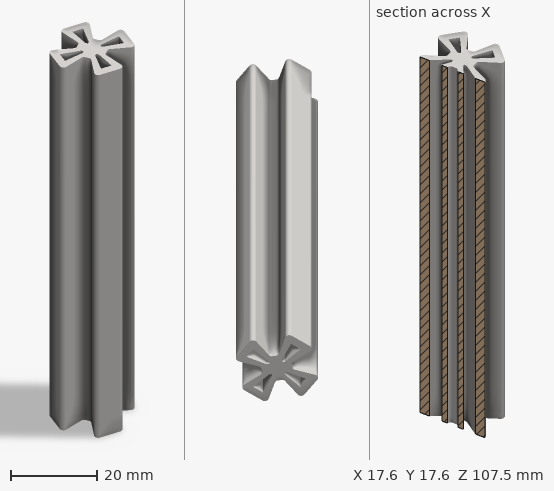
import cadquery as cq

length = 107.5
groove_floor = 3.5
floor_half_width = 1.0
wall_lean = 0.51
face_sum = 13.5
tip_radius = 1.0
floor_radius = 0.8
pocket_inner = 1.5
pocket_neck = 2.2
pocket_outer_near = 4.4
pocket_outer_far = 6.3

arm_count = 4
arm_angle = 360 / arm_count

floor_to_tip = (face_sum - floor_half_width - groove_floor) / (1 + wall_lean)
tip_far = groove_floor + floor_to_tip
tip_near = floor_half_width + wall_lean * floor_to_tip


def rotated_copies(shape):
    """Join copies of a shape spaced evenly around the Z axis."""
    copies = shape
    for i in range(1, arm_count):
        copies = copies.union(shape.rotate((0, 0, 0), (0, 0, 1), i * arm_angle))
    return copies


def prism(points):
    """Extrude a closed polygon over the full length of the bar."""
    return cq.Workplane("XY").polyline(points).close().extrude(length)


def make_body():
    """Cross-shaped bar with rounded arm tips and groove floors."""
    quarter = [
        (floor_half_width, groove_floor),
        (tip_near, tip_far),
        (tip_far, tip_near),
        (groove_floor, floor_half_width),
    ]
    outline = []
    for _ in range(arm_count):
        outline += quarter
        quarter = [(y, -x) for x, y in quarter]
    body = prism(outline)

    core = groove_floor + floor_radius
    upright_edges = cq.selectors.ParallelDirSelector(cq.Vector(0, 0, 1))
    core_edges = cq.selectors.BoxSelector((-core, -core, 0), (core, core, length))
    body = body.edges(upright_edges - core_edges).fillet(tip_radius)
    return body.edges(upright_edges & core_edges).fillet(floor_radius)


def make_pockets():
    """Tapered through-pockets, one along the diagonal of each arm."""
    pocket = prism([
        (pocket_inner, pocket_inner),
        (pocket_inner, pocket_neck),
        (pocket_outer_near, pocket_outer_far),
        (pocket_outer_far, pocket_outer_near),
        (pocket_neck, pocket_inner),
    ])
    return rotated_copies(pocket)


result = make_body().cut(make_pockets())